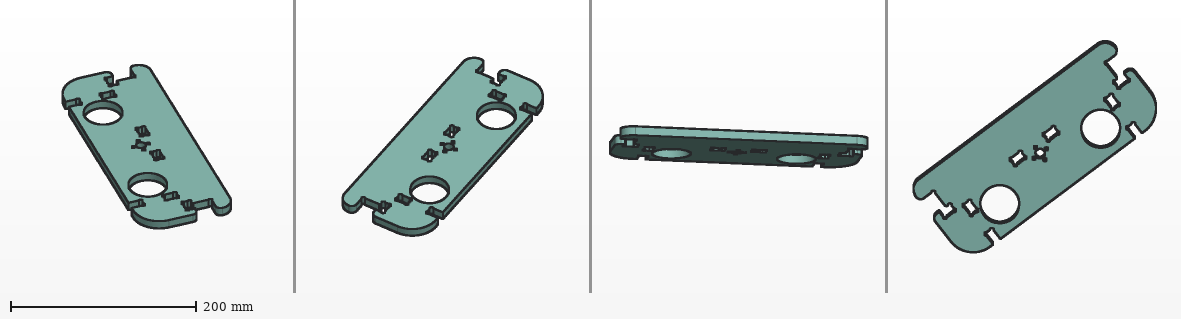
import cadquery as cq

length = 271.0
width = 106.0
thickness = 10.0
front_corner_radius = 30.0
back_corner_radius = 13.8
notch_lip_radius = 6.0

tab_length = 15.0
tab_width = 9.8
relief_diameter = 4.0
relief_inset = 1.22

notch_depth = 19.0
notch_front_y = 64.0
back_band_width = 20.0
notch_back_y = width - back_band_width
side_pocket_x = 118.2

slot_x = 96.2
upper_slot_y = 47.0
front_slot_depth = 15.0
center_pocket_x = 22.5
pocket_y = notch_front_y - tab_width / 2

large_hole_diameter = 42.0
large_hole_x = 68.5
large_hole_y = 31.0
hub_diameter = 10.5
hub_y = 48.8
screw_diameter = 3.5
screw_circle_radius = 8.5


def block(x_min, x_max, y_min, y_max):
    """Full-thickness rectangular block."""
    size_x = x_max - x_min
    size_y = y_max - y_min
    return cq.Workplane("XY").box(size_x, size_y, thickness, centered=False).translate((x_min, y_min, 0))


def cylinders(points, diameter):
    """Full-thickness cylinders at the given points."""
    return cq.Workplane("XY").pushPoints(points).circle(diameter / 2).extrude(thickness)


def relieved_cutter(x, y, size_x, size_y, open_corner=None):
    """Rectangular cutter centred on (x, y) with round tool reliefs at all corners but the open one."""
    relief_x = size_x / 2 - relief_inset
    relief_y = size_y / 2 - relief_inset
    corners = [(sx, sy) for sx in (-1, 1) for sy in (-1, 1) if (sx, sy) != open_corner]
    reliefs = [(x + sx * relief_x, y + sy * relief_y) for sx, sy in corners]
    cutter = block(x - size_x / 2, x + size_x / 2, y - size_y / 2, y + size_y / 2)
    return cutter.union(cylinders(reliefs, relief_diameter))


def notch_relief_cutter(side):
    """Tool reliefs at the two inner corners of a side notch."""
    x = side * (length / 2 - notch_depth + relief_inset)
    reliefs = [(x, notch_front_y), (x, notch_back_y - relief_inset)]
    return cylinders(reliefs, relief_diameter)


def front_slot_cutter(x):
    """Slot open at the front edge, relieved at its closed end."""
    relief_x = tab_width / 2 - relief_inset
    reliefs = [(x + s * relief_x, front_slot_depth - relief_inset) for s in (-1, 1)]
    slot = block(x - tab_width / 2, x + tab_width / 2, 0, front_slot_depth)
    return slot.union(cylinders(reliefs, relief_diameter))


def rounded_band(y_min, y_max, front_radius, back_radius):
    """Full-length strip of the plate with rounded front and back corners."""
    band = block(-length / 2, length / 2, y_min, y_max)
    band = band.edges("|Z and <Y").fillet(front_radius)
    return band.edges("|Z and >Y").fillet(back_radius)


front_band = rounded_band(0, notch_front_y, front_corner_radius, notch_lip_radius)
back_band = rounded_band(notch_back_y, width, notch_lip_radius, back_corner_radius)
web_half = length / 2 - notch_depth
web = block(-web_half, web_half, notch_front_y, notch_back_y)
plate = front_band.union(web).union(back_band)

for side in (-1, 1):
    plate = plate.cut(notch_relief_cutter(side))
    outer_back_corner = (side, 1)
    side_pocket = relieved_cutter(side * side_pocket_x, pocket_y, tab_length, tab_width, outer_back_corner)
    plate = plate.cut(side_pocket)
    plate = plate.cut(relieved_cutter(side * center_pocket_x, pocket_y, tab_length, tab_width))
    plate = plate.cut(relieved_cutter(side * slot_x, upper_slot_y, tab_width, tab_length))
    plate = plate.cut(front_slot_cutter(side * slot_x))
    plate = plate.cut(cylinders([(side * large_hole_x, large_hole_y)], large_hole_diameter))

screw_points = [
    (-screw_circle_radius, hub_y),
    (screw_circle_radius, hub_y),
    (0, hub_y - screw_circle_radius),
    (0, hub_y + screw_circle_radius),
]
plate = plate.cut(cylinders([(0, hub_y)], hub_diameter))
plate = plate.cut(cylinders(screw_points, screw_diameter))

result = plate